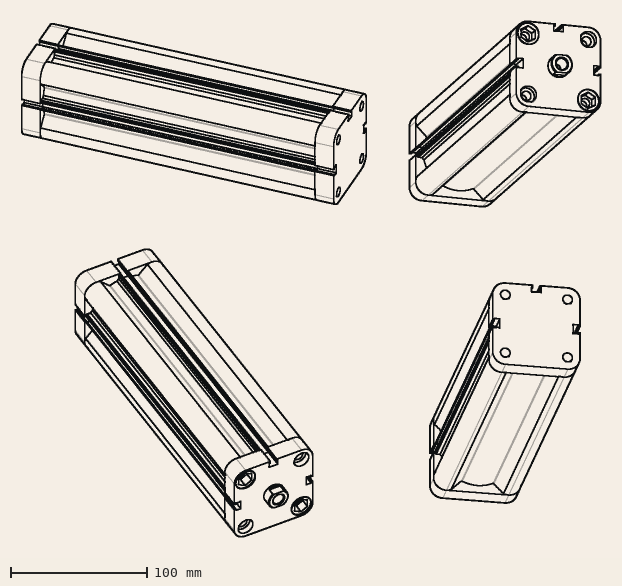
import cadquery as cq
import math

overall_length = 254.5
body_width = 65.5
half_width = body_width / 2
corner_radius = 9.5
bolt_offset = half_width - corner_radius

rod_projection = 8.0
front_cap_length = 14.8
rear_cap_length = 14.8
front_cap_start = rod_projection
tube_start = front_cap_start + front_cap_length
rear_cap_start = overall_length - rear_cap_length
tube_length = rear_cap_start - tube_start

slot_throat_width = 5.3
slot_width = 7.0
slot_lip_depth = 1.4
slot_depth = 5.3
slot_angles = (0, 90, -90)
plain_side_angle = 180

barrel_radius = 27.0
groove_mouth = 19.5
lobe_height = bolt_offset + math.sqrt(corner_radius**2 - (bolt_offset - groove_mouth) ** 2)
groove_wall_offset = lobe_height - groove_mouth
groove_floor = 15.3
groove_fillet = 0.64
rail_half_width = 4.3
rail_height = 31.8
rail_chamfer = 1.0
rail_foot = 1.5
rail_foot_height = math.sqrt(barrel_radius**2 - (rail_half_width + rail_foot) ** 2)

bolt_hole_diameter = 7.0
hex_across_flats = 10.7
hex_depth = 8.1
hex_recess_diameter = 16.3
hex_recess_depth = 0.8
counterbore_diameter = 12.2
counterbore_depth = 4.8
hex_corners = [(bolt_offset, bolt_offset), (-bolt_offset, -bolt_offset)]
counterbore_corners = [(-bolt_offset, bolt_offset), (bolt_offset, -bolt_offset)]
all_corners = hex_corners + counterbore_corners

rod_diameter = 16.3
rod_radius = rod_diameter / 2
rod_length = tube_start
rod_tip_chamfer = 0.5
flat_spacing = 13.5
flat_length = 6.0
shoulder_angle = 15.0
thread_diameter = 8.7
thread_depth = 15.3
thread_chamfer = 0.64
drill_point_half_angle = 59.0


def cross_section(x):
    """Sketch plane across the cylinder at x: local x is +Y, local y is +Z, extruding to +X."""
    return cq.Workplane("YZ", origin=(x, 0, 0))


def drill(x, depth, diameter, centers):
    return cross_section(x).pushPoints(centers).circle(diameter / 2).extrude(depth)


def turned(shape, angle):
    return shape.rotate((0, 0, 0), (1, 0, 0), angle)


def cut_sensor_slots(body, x, length):
    """Cut the T-slot into the three slotted sides of a body."""
    lip_height = half_width - slot_lip_depth
    floor_height = half_width - slot_depth
    throat = (
        cross_section(x)
        .center(0, (floor_height + half_width) / 2)
        .rect(slot_throat_width, half_width - floor_height)
        .extrude(length)
    )
    wide_part = (
        cross_section(x)
        .center(0, (floor_height + lip_height) / 2)
        .rect(slot_width, lip_height - floor_height)
        .extrude(length)
    )
    cutter = throat.union(wide_part)
    for angle in slot_angles:
        body = body.cut(turned(cutter, angle))
    return body


def square_prism(x, length):
    """Rounded-corner square blank of the caps and tube, with the four bolt holes."""
    prism = cross_section(x).rect(body_width, body_width).extrude(length)
    prism = prism.edges("|X").fillet(corner_radius)
    return prism.cut(drill(x, length, bolt_hole_diameter, all_corners))


def make_cap(x, length):
    return cut_sensor_slots(square_prism(x, length), x, length)


def hex_pockets(x):
    """Hexagonal pockets with two flats parallel to Z."""
    across_corners = hex_across_flats / math.cos(math.pi / 6)
    hexagon = cq.Sketch().regularPolygon(across_corners / 2, 6)
    return cross_section(x).pushPoints(hex_corners).placeSketch(hexagon).extrude(hex_depth)


def make_front_cap():
    x = front_cap_start
    cap = make_cap(x, front_cap_length)
    cap = cap.cut(hex_pockets(x))
    cap = cap.cut(drill(x, hex_recess_depth, hex_recess_diameter, hex_corners))
    cap = cap.cut(drill(x, counterbore_depth, counterbore_diameter, counterbore_corners))
    return cap.cut(drill(x, front_cap_length, rod_diameter, [(0, 0)]))


def side_groove():
    """Cutter for the +Z side of the tube: the space outside the barrel between two corner lobes."""
    arc_angle = math.asin((bolt_offset - groove_mouth) / corner_radius) / 2
    arc_y = bolt_offset - corner_radius * math.sin(arc_angle)
    arc_z = bolt_offset + corner_radius * math.cos(arc_angle)
    groove = (
        cross_section(tube_start)
        .moveTo(-bolt_offset, half_width)
        .threePointArc((-arc_y, arc_z), (-groove_mouth, lobe_height))
        .lineTo(groove_wall_offset - groove_floor, groove_floor)
        .lineTo(groove_floor - groove_wall_offset, groove_floor)
        .lineTo(groove_mouth, lobe_height)
        .threePointArc((arc_y, arc_z), (bolt_offset, half_width))
        .close()
        .extrude(tube_length)
    )
    barrel = cross_section(tube_start).circle(barrel_radius).extrude(tube_length)
    return groove.cut(barrel).edges("|X").edges("<Z").fillet(groove_fillet)


def slot_rail():
    """Rail on the barrel that carries the +Z sensor slot."""
    right_side = [
        (rail_half_width - rail_chamfer, rail_height),
        (rail_half_width, rail_height - rail_chamfer),
        (rail_half_width, rail_foot_height + rail_foot),
        (rail_half_width + rail_foot, rail_foot_height),
    ]
    left_side = [(-y, z) for y, z in reversed(right_side)]
    return cross_section(tube_start).polyline(right_side + left_side).close().extrude(tube_length)


def make_tube():
    tube = square_prism(tube_start, tube_length)
    plain_groove = side_groove()
    railed_groove = plain_groove.cut(slot_rail())
    for angle in slot_angles:
        tube = tube.cut(turned(railed_groove, angle))
    tube = tube.cut(turned(plain_groove, plain_side_angle))
    return cut_sensor_slots(tube, tube_start, tube_length)


def wrench_flat():
    """Cutter for the upper rod flat, ending in a steep sloped shoulder."""
    flat_height = flat_spacing / 2
    shoulder_run = (rod_radius - flat_height) * math.tan(math.radians(shoulder_angle))
    return (
        cq.Workplane("XZ")
        .polyline([
            (0, flat_height),
            (flat_length, flat_height),
            (flat_length + shoulder_run, rod_radius),
            (0, rod_radius),
        ])
        .close()
        .extrude(rod_radius, both=True)
    )


def threaded_hole():
    """Blind hole along the rod axis with a chamfered mouth and a conical drill point."""
    radius = thread_diameter / 2
    point_length = radius / math.tan(math.radians(drill_point_half_angle))
    return (
        cq.Workplane("XZ")
        .polyline([
            (0, 0),
            (0, radius + thread_chamfer),
            (thread_chamfer, radius),
            (thread_depth, radius),
            (thread_depth + point_length, 0),
        ])
        .close()
        .revolve(360, (0, 0, 0), (1, 0, 0))
    )


def make_rod():
    rod = cross_section(0).circle(rod_radius).extrude(rod_length)
    rod = rod.faces("<X").chamfer(rod_tip_chamfer)
    upper_flat = wrench_flat()
    rod = rod.cut(upper_flat).cut(upper_flat.mirror("XY"))
    return rod.cut(threaded_hole())


front_cap = make_front_cap()
tube = make_tube()
rear_cap = make_cap(rear_cap_start, rear_cap_length)
rod = make_rod()

result = cq.Compound.makeCompound([front_cap.val(), tube.val(), rear_cap.val(), rod.val()])